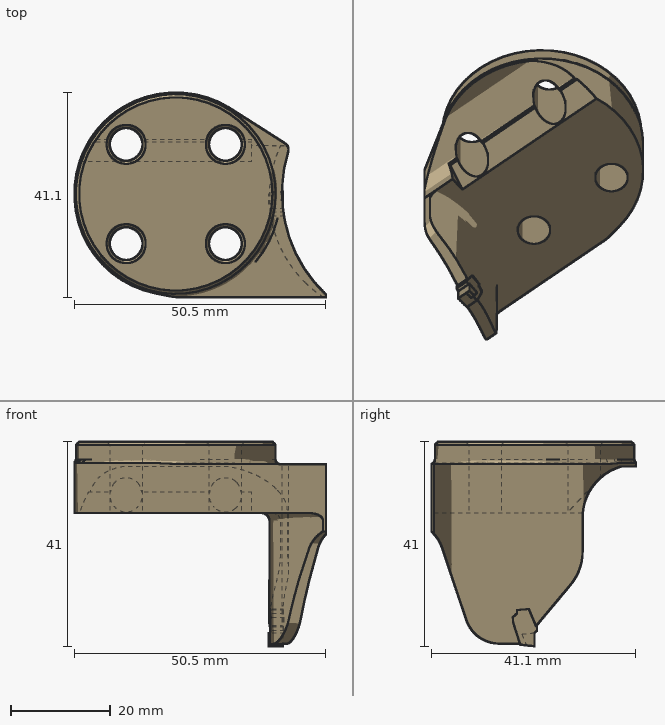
import cadquery as cq
import math

pad_diameter = 40.0
pad_depth = 3.6
pad_chamfer = 0.65
pad_cove_radius = 0.95

plate_top_z = -(pad_depth + pad_cove_radius)
plate_bottom_z = -14.3
plate_radius = 20.35
front_y = -20.7
tip_x = 30.1
run_out_x = -4.05
run_out_bend_x = -1.0
front_start_x = 0.85
shoulder_angle = 32.5
shoulder_corner_radius = 1.5

outer_arc_radius = 27.9
outer_arc_x = 49.2
outer_arc_y = 0.2

inner_arc_radius = 24.15
inner_arc_x = 42.85
inner_arc_y = -0.55
blade_cove_radius = 1.55

blade_bottom_z = -40.5
blade_rear_y = 9.65
blade_rear_bend_z = -25.8
blade_rear_radius = 10.5
blade_seat_y = 0.4
blade_seat_z = -36.8
blade_front_corner_y = -12.1
blade_front_radius = 7.05
flare_start_y, flare_start_z = -18.35, -21.9
flare_middle_y, flare_middle_z = -19.45, -19.4
flare_end_z = -18.0

relief_radius = 10.5
relief_top_z = -4.65
relief_bevel_y, relief_bevel_z = 10.45, -10.1
relief_bevel_foot_y = 6.5
relief_bevel_end_x = 15.15

hole_diameter = 6.5
hole_chamfer = 0.65
hole_pitch = 19.85

insert_bottom_z = -41.0
insert_inner_x = 18.85
insert_outer_x = 21.45
insert_tip_x = 18.55
insert_tip_rear_z = -38.35
insert_top_corner = (-1.15, -33.55)
insert_seat_corner = (0.25, -36.9)
insert_heel_corner = (-2.9, -40.7)

reach = 2 * plate_radius
overlap = 0.5


def plate_outline():
    """Plan outline of the plate, and the place of its sharp rear corner."""
    shoulder = math.radians(shoulder_angle)
    leave_x = plate_radius * math.sin(shoulder)
    leave_y = plate_radius * math.cos(shoulder)
    gap_x = outer_arc_x - leave_x
    gap_y = outer_arc_y - leave_y
    along = gap_x * math.cos(shoulder) - gap_y * math.sin(shoulder)
    across = gap_x * math.sin(shoulder) + gap_y * math.cos(shoulder)
    shoulder_length = along - math.sqrt(outer_arc_radius**2 - across**2)
    corner_x = leave_x + shoulder_length * math.cos(shoulder)
    corner_y = leave_y - shoulder_length * math.sin(shoulder)
    run_out_y = -math.sqrt(plate_radius**2 - run_out_x**2)
    run_out_slope = run_out_x / -run_out_y
    bend_y = run_out_y + (run_out_bend_x - run_out_x) * run_out_slope
    tip_rise = outer_arc_y - math.sqrt(outer_arc_radius**2 - (outer_arc_x - tip_x) ** 2)
    outline = (
        cq.Workplane("XY")
        .moveTo(leave_x, leave_y)
        .threePointArc((-plate_radius, 0), (run_out_x, run_out_y))
        .lineTo(run_out_bend_x, bend_y)
        .tangentArcPoint((front_start_x, front_y), relative=False)
        .lineTo(tip_x, front_y)
        .lineTo(tip_x, tip_rise)
        .threePointArc((outer_arc_x - outer_arc_radius, outer_arc_y), (corner_x, corner_y))
        .close()
    )
    return outline, (corner_x, corner_y)


def holder_prism(bottom_z, top_z):
    """Plate outline with its rounded rear corner, between two heights."""
    outline, corner = plate_outline()
    prism = outline.extrude(top_z - bottom_z).translate((0, 0, bottom_z))
    near_corner = cq.selectors.NearestToPointSelector((*corner, (bottom_z + top_z) / 2))
    return prism.edges("|Z").edges(near_corner).fillet(shoulder_corner_radius)


def make_pad():
    """Chamfered pad with a cove running out onto the plate."""
    radius = pad_diameter / 2
    pad = (
        cq.Workplane("XZ")
        .moveTo(0, 0)
        .lineTo(radius - pad_chamfer, 0)
        .lineTo(radius, -pad_chamfer)
        .lineTo(radius, -pad_depth)
        .radiusArc((radius + pad_cove_radius, plate_top_z), -pad_cove_radius)
        .lineTo(radius + pad_cove_radius, plate_top_z - overlap)
        .lineTo(0, plate_top_z - overlap)
        .close()
        .revolve(360, (0, 0, 0), (0, 1, 0))
    )
    return pad.intersect(holder_prism(plate_top_z - overlap, 0))


def relief_cutter():
    """Concave relief under the rear, with a bevel on the far side from the blade."""
    quarter_foot_z = relief_top_z - relief_radius
    relief_rear_y = blade_rear_y + relief_radius
    scoop = (
        cq.Workplane("YZ")
        .moveTo(blade_rear_y, quarter_foot_z)
        .radiusArc((relief_rear_y, relief_top_z), relief_radius)
        .lineTo(reach, relief_top_z)
        .lineTo(reach, quarter_foot_z)
        .close()
        .extrude(reach, both=True)
    )
    bevel = (
        cq.Workplane("YZ")
        .workplane(offset=-reach)
        .moveTo(relief_bevel_foot_y, plate_bottom_z)
        .lineTo(relief_bevel_y, relief_bevel_z)
        .lineTo(relief_rear_y, relief_bevel_z)
        .lineTo(relief_rear_y, plate_bottom_z)
        .close()
        .extrude(reach + relief_bevel_end_x)
    )
    return scoop.union(bevel)


def blade_side_outline():
    """Side outline of the blade, extruded along X and rounded at two bends."""
    top_z = plate_bottom_z + overlap
    side = (
        cq.Workplane("YZ")
        .moveTo(blade_rear_y, top_z)
        .lineTo(blade_rear_y, blade_rear_bend_z)
        .lineTo(blade_seat_y, blade_seat_z)
        .lineTo(blade_seat_y, blade_bottom_z)
        .lineTo(blade_front_corner_y, blade_bottom_z)
        .lineTo(flare_start_y, flare_start_z)
        .threePointArc((flare_middle_y, flare_middle_z), (front_y, flare_end_z))
        .lineTo(front_y, top_z)
        .close()
        .extrude(reach)
    )
    rear_bend = cq.selectors.NearestToPointSelector((reach / 2, blade_rear_y, blade_rear_bend_z))
    front_bend = cq.selectors.NearestToPointSelector((reach / 2, blade_front_corner_y, blade_bottom_z))
    side = side.edges("|X").edges(rear_bend).fillet(blade_rear_radius)
    return side.edges("|X").edges(front_bend).fillet(blade_front_radius)


def make_blade():
    """Curved blade below the plate, with a cove where it meets the underside."""
    inner_side = (
        cq.Workplane("XZ")
        .moveTo(0, plate_bottom_z + overlap)
        .lineTo(0, blade_bottom_z)
        .lineTo(inner_arc_radius, blade_bottom_z)
        .lineTo(inner_arc_radius, plate_bottom_z - blade_cove_radius)
        .radiusArc((inner_arc_radius + blade_cove_radius, plate_bottom_z), blade_cove_radius)
        .lineTo(inner_arc_radius + blade_cove_radius, plate_bottom_z + overlap)
        .close()
        .revolve(360, (0, 0, 0), (0, 1, 0))
        .translate((inner_arc_x, inner_arc_y, 0))
    )
    blade = holder_prism(blade_bottom_z, plate_bottom_z + overlap)
    return blade.intersect(inner_side).intersect(blade_side_outline())


def mounting_hole_cutter():
    """Four through holes with countersunk rims."""
    centres = cq.Workplane("XY").rect(hole_pitch, hole_pitch, forConstruction=True).vertices()
    radius = hole_diameter / 2
    drill = cq.Solid.makeCylinder(radius, -plate_bottom_z, cq.Vector(0, 0, plate_bottom_z))
    rim = cq.Solid.makeCone(radius, radius + hole_chamfer, hole_chamfer, cq.Vector(0, 0, -hole_chamfer))
    hole = drill.fuse(rim)
    return centres.eachpoint(lambda place: hole.moved(place), combine=False)


def insert_blank(inner_x, outer_x):
    """Side outline of the cutting insert, extruded between two X positions."""
    return (
        cq.Workplane("YZ")
        .workplane(offset=inner_x)
        .polyline([
            insert_top_corner,
            (-3.6, -33.75),
            (-3.6, -34.45),
            (-4.4, -35.2),
            (-4.35, -36.1),
            insert_heel_corner,
            (0, insert_bottom_z),
            (0, insert_tip_rear_z),
            (0.5, -37.85),
            (0.5, -37.1),
            insert_seat_corner,
        ])
        .close()
        .extrude(outer_x - inner_x)
    )


def make_insert():
    """Cutting insert with a raised tip at its lower rear corner."""
    tip = (
        cq.Workplane("YZ")
        .workplane(offset=insert_tip_x)
        .polyline([
            (0, insert_tip_rear_z),
            (-2.5, -38.6),
            (-1.6, -40.85),
            (0, insert_bottom_z),
        ])
        .close()
        .extrude(insert_inner_x + overlap - insert_tip_x)
    )
    return insert_blank(insert_inner_x, insert_outer_x).union(tip)


def insert_seat_cutter():
    """Opening through the blade that holds the insert, clear below and behind it."""
    corner_clearance = (
        cq.Workplane("YZ")
        .polyline([
            insert_heel_corner,
            insert_top_corner,
            insert_seat_corner,
            (blade_rear_y, blade_seat_z),
            (blade_rear_y, insert_bottom_z),
            (0, insert_bottom_z),
        ])
        .close()
        .extrude(reach)
    )
    return insert_blank(0, reach).union(corner_clearance)


def make_holder():
    """Pad, plate and blade as one body, with its holes and the insert seat."""
    plate = holder_prism(plate_bottom_z, plate_top_z).cut(relief_cutter())
    holder = plate.union(make_pad()).union(make_blade())
    return holder.cut(mounting_hole_cutter()).cut(insert_seat_cutter())


holder = make_holder()
insert = make_insert()
result = cq.Compound.makeCompound([holder.solids().val(), insert.solids().val()])